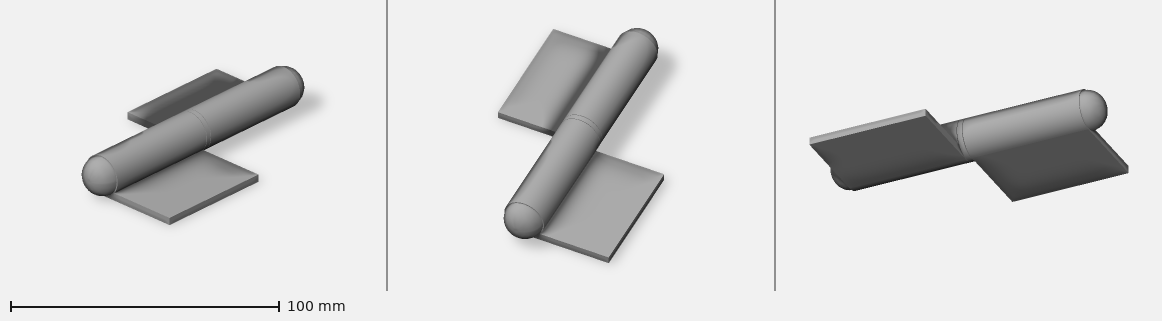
import cadquery as cq
import math

total_length = 112.0
total_width = 69.7
knuckle_diameter = 16.4
pin_diameter = 9.9

plate_thickness = 3.0
plate_length = 47.9
knuckle_spacing = 2.5

washer_thickness = 2.0

cap_step = 0.5

knuckle_radius = knuckle_diameter / 2
knuckle_inner_end = knuckle_spacing / 2
knuckle_outer_end = knuckle_inner_end + plate_length
plate_width = total_width / 2
hinge_end = total_length / 2
cap_radius = knuckle_radius - cap_step
cap_height = hinge_end - knuckle_outer_end
cap_flat_radius = cap_radius - cap_height


def cylinder_along_y(diameter, y_start, y_end):
    """Solid cylinder on the hinge axis from y_start up to y_end."""
    length = y_end - y_start
    return cq.Workplane("XZ", origin=(0, y_start, 0)).circle(diameter / 2).extrude(-length)


def make_cap():
    """Quarter-round cap with a small flat tip, on the -Y end of a knuckle."""
    arc_middle_offset = cap_height * math.sqrt(0.5)
    arc_middle = (cap_flat_radius + arc_middle_offset, -knuckle_outer_end - arc_middle_offset)
    return (
        cq.Workplane("XY")
        .moveTo(0, -knuckle_outer_end)
        .lineTo(cap_radius, -knuckle_outer_end)
        .threePointArc(arc_middle, (cap_flat_radius, -hinge_end))
        .lineTo(0, -hinge_end)
        .close()
        .revolve(360, (0, 0, 0), (0, 1, 0))
    )


def make_leaf():
    """Leaf on the -Y, +X side: capped knuckle and a plate flush with its underside."""
    knuckle = cylinder_along_y(knuckle_diameter, -knuckle_outer_end, -knuckle_inner_end)
    plate = (
        cq.Workplane("XY")
        .box(plate_width, plate_length, plate_thickness, centered=False)
        .translate((0, -knuckle_outer_end, -knuckle_radius))
    )
    return knuckle.union(plate).union(make_cap())


def make_pin_leaf():
    """Leaf whose pin bridges the space to the end face of the other knuckle."""
    pin = cylinder_along_y(pin_diameter, -knuckle_inner_end, knuckle_inner_end)
    return make_leaf().union(pin)


def make_plain_leaf():
    """Leaf without a pin, turned half a turn about Z to the +Y, -X side."""
    return make_leaf().rotate((0, 0, 0), (0, 0, 1), 180)


def make_washer():
    """Ring on the pin, midway between the knuckles."""
    half_thickness = washer_thickness / 2
    ring = cylinder_along_y(knuckle_diameter, -half_thickness, half_thickness)
    bore = cylinder_along_y(pin_diameter, -half_thickness, half_thickness)
    return ring.cut(bore)


pin_leaf = make_pin_leaf()
plain_leaf = make_plain_leaf()
washer = make_washer()

bodies = [body.solids().val() for body in (pin_leaf, plain_leaf, washer)]
result = cq.Compound.makeCompound(bodies)